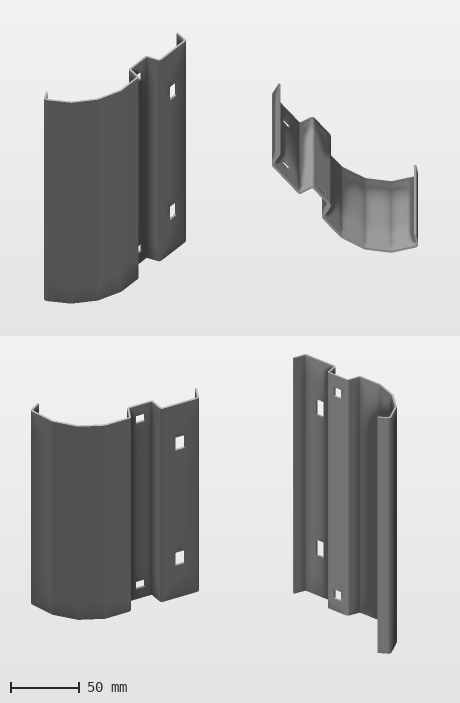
import cadquery as cq
import math

length = 190.0
thickness = 1.5
inner_bend_radius = 1.0
outer_bend_radius = inner_bend_radius + thickness

upper_width = 29.3
channel_width = 19.0
lower_width = 20.0
facet_width = 19.4
top_lip_width = 10.3
hook_width = 9.0
channel_depth = 10.3

flank_tilt = 15.0
facet_step = 20.0
facet_count = 3
hook_turn = 88.0

window_width = 7.2
channel_window_height = 7.2
upper_window_height = 12.5
channel_window_inset = 13.5
upper_window_inset = 38.4

flank_width = channel_depth / math.cos(math.radians(flank_tilt))
last_facet_heading = -90 - facet_step * facet_count

legs = [
    (top_lip_width, -flank_tilt),
    (upper_width, -90),
    (flank_width, 180 + flank_tilt),
    (channel_width, -90),
    (flank_width, -flank_tilt),
    (lower_width, -90),
]
legs += [(facet_width, -90 - facet_step * (i + 1)) for i in range(facet_count)]
legs += [(hook_width, last_facet_heading - hook_turn)]
headings = [heading for _, heading in legs]


def centreline():
    """Corner points of the sheet centreline, starting at the free end of the top lip."""
    points = [(0.0, 0.0)]
    for width, heading in legs:
        x, y = points[-1]
        angle = math.radians(heading)
        points.append((x + width * math.cos(angle), y + width * math.sin(angle)))
    return points


def offset_points(points, distance):
    """Mitred offset of the centreline; positive distances lie left of the path."""
    before = headings[:1] + headings
    after = headings + headings[-1:]
    moved = []
    for (x, y), heading_in, heading_out in zip(points, before, after):
        half_turn = math.radians((heading_out - heading_in + 180) % 360 - 180) / 2
        normal = math.radians(heading_in + 90) + half_turn
        reach = distance / math.cos(half_turn)
        moved.append((x + reach * math.cos(normal), y + reach * math.sin(normal)))
    return moved


def sheet(points):
    """Extruded folded sheet with rounded bends."""
    left = offset_points(points, thickness / 2)
    right = offset_points(points, -thickness / 2)
    body = cq.Workplane("XY").polyline(left + right[::-1]).close().extrude(length)
    for corner in range(1, len(legs)):
        turn = (headings[corner] - headings[corner - 1] + 180) % 360 - 180
        inner, outer = (left, right) if turn > 0 else (right, left)
        for side, radius in ((inner, inner_bend_radius), (outer, outer_bend_radius)):
            x, y = side[corner]
            edge = cq.selectors.NearestToPointSelector((x, y, length / 2))
            body = body.edges("|Z").edges(edge).fillet(radius)
    return body


def window_pair(start, end, height, inset):
    """Two cutters through the middle of a flat wall, at equal distances from both sheet ends."""
    x = (start[0] + end[0]) / 2
    y = (start[1] + end[1]) / 2
    cutter = cq.Workplane("XY").box(2 * thickness, window_width, height)
    low = cutter.translate((x, y, inset))
    return low.union(cutter.translate((x, y, length - inset)))


corners = centreline()
result = sheet(corners)
result = result.cut(window_pair(corners[1], corners[2], upper_window_height, upper_window_inset))
result = result.cut(window_pair(corners[3], corners[4], channel_window_height, channel_window_inset))